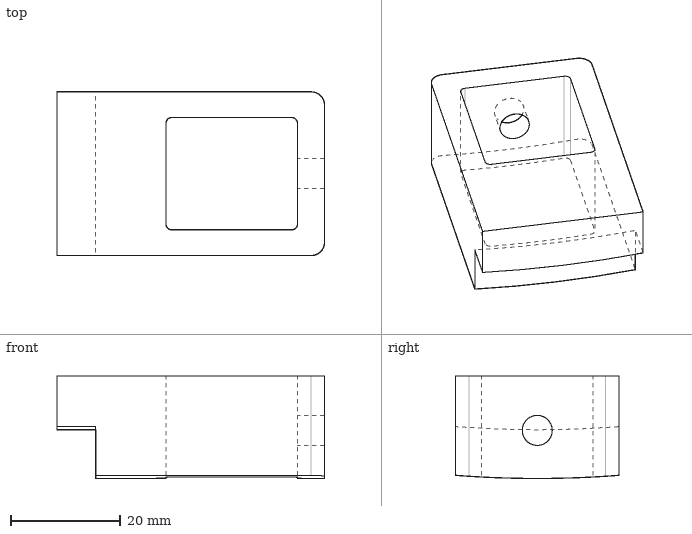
import cadquery as cq

length = 49.0
width = 30.0
height = 18.8
corner_radius = 2.5

crown_rise = 0.6
step_length = 7.1
step_height = 9.9

window_start = 20.0
window_length = 24.0
window_width = 20.5
window_radius = 1.0

hole_diameter = 5.5
hole_depth_below_top = 10.0


def crowned_bar(start, end, thickness):
    """Bar along X with a flat top at Z = 0 and an arched underside."""
    half_width = width / 2
    side_z = crown_rise - thickness
    return (
        cq.Workplane("YZ", origin=(start, 0, 0))
        .moveTo(-half_width, 0)
        .lineTo(-half_width, side_z)
        .threePointArc((0, -thickness), (half_width, side_z))
        .lineTo(half_width, 0)
        .close()
        .extrude(end - start)
    )


body = crowned_bar(step_length, length, height)
body = body.edges("|Z and >X").fillet(corner_radius)
body = body.union(crowned_bar(0, step_length, step_height))

window_end = window_start + window_length
window = (
    cq.Workplane("XY")
    .center((window_start + window_end) / 2, 0)
    .rect(window_length, window_width)
    .extrude(-height)
    .edges("|Z")
    .fillet(window_radius)
)

hole = (
    cq.Workplane("YZ", origin=(window_end, 0, -hole_depth_below_top))
    .circle(hole_diameter / 2)
    .extrude(length - window_end)
)

result = body.cut(window).cut(hole)